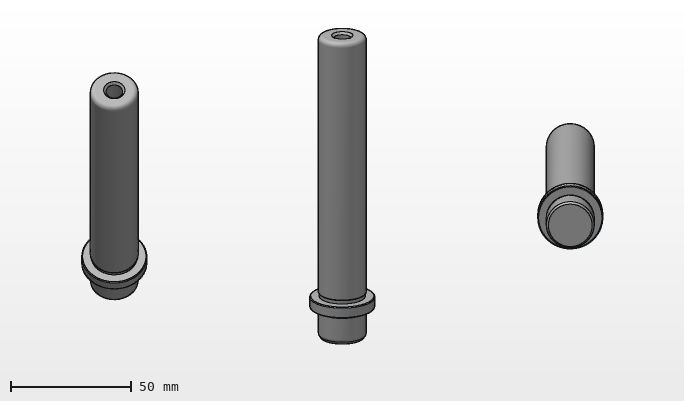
import cadquery as cq
import math

total_length = 133.0
shaft_radius = 10.0
top_round = 2.0

collar_diameter = 27.0
collar_radius = collar_diameter / 2
collar_bottom = 13.0
collar_thickness = 4.9
collar_chamfer = 0.4
groove_radius = 9.6
upper_groove_width = 1.9
lower_groove_width = 0.9
groove_chamfer = shaft_radius - groove_radius

foot_radius = 9.0
lead_radius = 9.8
foot_chamfer_height = 1.2
lead_height = 2.0

hole_diameter = 6.8
hole_radius = hole_diameter / 2
hole_mouth_radius = 4.4
hole_depth = 20.0
drill_point_angle = 118.0

collar_top = collar_bottom + collar_thickness
lower_groove_bottom = collar_bottom - lower_groove_width
upper_groove_top = collar_top + upper_groove_width


def make_body():
    """Revolve the outer half-profile; profile x is the radius and y is height."""
    round_middle = top_round * math.sqrt(0.5)
    return (
        cq.Workplane("XZ")
        .lineTo(foot_radius, 0)
        .lineTo(lead_radius, foot_chamfer_height)
        .lineTo(shaft_radius, lead_height)
        .lineTo(shaft_radius, lower_groove_bottom - groove_chamfer)
        .lineTo(groove_radius, lower_groove_bottom)
        .lineTo(groove_radius, collar_bottom)
        .lineTo(collar_radius - collar_chamfer, collar_bottom)
        .lineTo(collar_radius, collar_bottom + collar_chamfer)
        .lineTo(collar_radius, collar_top - collar_chamfer)
        .lineTo(collar_radius - collar_chamfer, collar_top)
        .lineTo(groove_radius, collar_top)
        .lineTo(groove_radius, upper_groove_top - groove_chamfer)
        .lineTo(shaft_radius, upper_groove_top)
        .lineTo(shaft_radius, total_length - top_round)
        .threePointArc(
            (shaft_radius - top_round + round_middle, total_length - top_round + round_middle),
            (shaft_radius - top_round, total_length),
        )
        .lineTo(0, total_length)
        .close()
        .revolve(360, (0, 0), (0, 1))
    )


def make_hole():
    """Revolve the hole: 45 degree mouth, straight bore, conical bottom."""
    bore_bottom = total_length - hole_depth
    mouth_depth = hole_mouth_radius - hole_radius
    point_depth = hole_radius / math.tan(math.radians(drill_point_angle / 2))
    return (
        cq.Workplane("XZ")
        .moveTo(0, total_length)
        .lineTo(hole_mouth_radius, total_length)
        .lineTo(hole_radius, total_length - mouth_depth)
        .lineTo(hole_radius, bore_bottom)
        .lineTo(0, bore_bottom - point_depth)
        .close()
        .revolve(360, (0, 0), (0, 1))
    )


result = make_body().cut(make_hole())